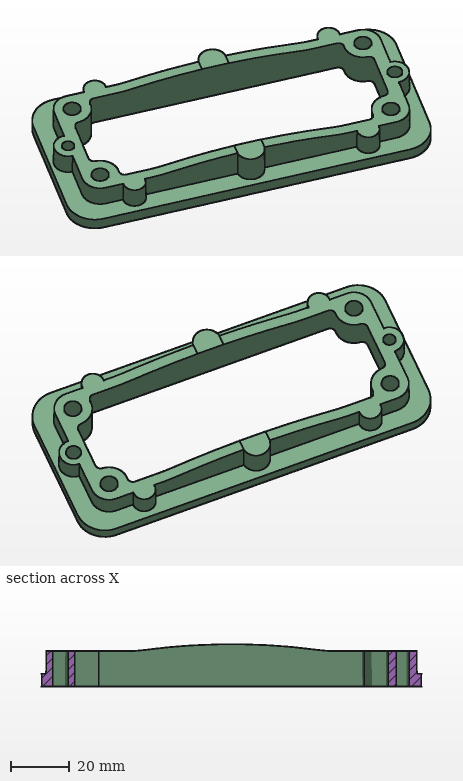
import cadquery as cq
import math

LENGTH = 129.0
WIDTH = 58.0
PLATE_HEIGHT = 4.4
PLATE_CORNER_RADIUS = 10.0

DECK_HEIGHT = 12.1
TOTAL_HEIGHT = 14.5
FRAME_WIDTH = 45.0
FRAME_LENGTH = 116.2
FRAME_CORNER_RADIUS = 6.5
DRAFT_ANGLE = 1.0

CROWN_HALF_LENGTH = 35.1
CROWN_ARC_HALF_LENGTH = 29.3

END_BOSS_RADIUS = 5.0
END_BOSS_Y = 58.0
SIDE_BOSS_RADIUS = 4.0
SIDE_BOSS_X = 22.7
SIDE_BOSS_Y = 41.5
PAD_REACH = 26.6
PAD_HALF_LENGTH = 4.8

OPENING_WIDTH = 37.2
OPENING_LENGTH = 106.3
LOBE_RADIUS = 6.6
LOBE_FILLET = 1.9
CORNER_HOLE_DIAMETER = 5.9
REAR_HOLE_DIAMETER = 5.2
FRONT_HOLE_DIAMETER = 4.3

CORNER_X = FRAME_WIDTH / 2 - FRAME_CORNER_RADIUS
CORNER_Y = FRAME_LENGTH / 2 - FRAME_CORNER_RADIUS
CORNER_POINTS = [(sx * CORNER_X, sy * CORNER_Y) for sx in (-1, 1) for sy in (-1, 1)]
SIDE_BOSS_POINTS = [(sx * SIDE_BOSS_X, sy * SIDE_BOSS_Y) for sx in (-1, 1) for sy in (-1, 1)]
END_BOSS_POINTS = [(0, -END_BOSS_Y), (0, END_BOSS_Y)]


def rounded_block(width, length, bottom, height, radius, draft=0.0):
    """Rounded rectangular block that narrows upwards by the draft angle."""
    outline = cq.Sketch().rect(width, length).vertices().fillet(radius)
    return cq.Workplane("XY").workplane(offset=bottom).placeSketch(outline).extrude(height, taper=draft)


def bosses(points, radius):
    """Tapered round bosses standing on the plate, up to the deck."""
    plane = cq.Workplane("XY").workplane(offset=PLATE_HEIGHT)
    return plane.pushPoints(points).circle(radius).extrude(DECK_HEIGHT - PLATE_HEIGHT, taper=DRAFT_ANGLE)


def crown_profile():
    """Side profile of the frame, with two tangent arcs on each half of the crown."""
    rise = TOTAL_HEIGHT - DECK_HEIGHT
    slope = 2 * math.atan(rise / CROWN_HALF_LENGTH)
    crown_radius = CROWN_ARC_HALF_LENGTH / math.sin(slope)
    ease_radius = (CROWN_HALF_LENGTH - CROWN_ARC_HALF_LENGTH) / math.sin(slope)
    join_z = TOTAL_HEIGHT - crown_radius * (1 - math.cos(slope))
    ease_mid_y = CROWN_HALF_LENGTH - ease_radius * math.sin(slope / 2)
    ease_mid_z = DECK_HEIGHT + ease_radius * (1 - math.cos(slope / 2))
    return (
        cq.Workplane("YZ")
        .moveTo(-LENGTH / 2, PLATE_HEIGHT)
        .lineTo(LENGTH / 2, PLATE_HEIGHT)
        .lineTo(LENGTH / 2, DECK_HEIGHT)
        .lineTo(CROWN_HALF_LENGTH, DECK_HEIGHT)
        .threePointArc((ease_mid_y, ease_mid_z), (CROWN_ARC_HALF_LENGTH, join_z))
        .threePointArc((0, TOTAL_HEIGHT), (-CROWN_ARC_HALF_LENGTH, join_z))
        .threePointArc((-ease_mid_y, ease_mid_z), (-CROWN_HALF_LENGTH, DECK_HEIGHT))
        .lineTo(-LENGTH / 2, DECK_HEIGHT)
        .close()
    )


def frame():
    """Drafted frame trimmed to the crown profile."""
    height = TOTAL_HEIGHT - PLATE_HEIGHT
    block = rounded_block(FRAME_WIDTH, FRAME_LENGTH, PLATE_HEIGHT, height, FRAME_CORNER_RADIUS, DRAFT_ANGLE)
    return block.intersect(crown_profile().extrude(WIDTH / 2, both=True))


def middle_pad(side):
    """Full-height pad at mid-length, rounded outside and flush with the opening inside."""
    inner_x = side * OPENING_WIDTH / 2
    wall_x = side * FRAME_WIDTH / 2
    return (
        cq.Workplane("XY")
        .moveTo(inner_x, -PAD_HALF_LENGTH)
        .lineTo(wall_x, -PAD_HALF_LENGTH)
        .threePointArc((side * PAD_REACH, 0), (wall_x, PAD_HALF_LENGTH))
        .lineTo(inner_x, PAD_HALF_LENGTH)
        .close()
        .extrude(TOTAL_HEIGHT)
    )


def opening():
    """Through opening, notched around the four corner screw lobes."""
    block = cq.Workplane("XY").box(OPENING_WIDTH, OPENING_LENGTH, TOTAL_HEIGHT, centered=(True, True, False))
    lobes = cq.Workplane("XY").pushPoints(CORNER_POINTS).circle(LOBE_RADIUS).extrude(TOTAL_HEIGHT)
    return block.cut(lobes).edges("|Z").fillet(LOBE_FILLET)


def holes(points, diameter):
    """Round through holes."""
    return cq.Workplane("XY").pushPoints(points).circle(diameter / 2).extrude(TOTAL_HEIGHT)


result = rounded_block(WIDTH, LENGTH, 0, PLATE_HEIGHT, PLATE_CORNER_RADIUS)
result = result.union(frame())
result = result.union(bosses(SIDE_BOSS_POINTS, SIDE_BOSS_RADIUS))
result = result.union(bosses(END_BOSS_POINTS, END_BOSS_RADIUS))
for side in (-1, 1):
    result = result.union(middle_pad(side))

result = result.cut(opening())
result = result.cut(holes(CORNER_POINTS, CORNER_HOLE_DIAMETER))
result = result.cut(holes([(0, END_BOSS_Y)], REAR_HOLE_DIAMETER))
result = result.cut(holes([(0, -END_BOSS_Y)], FRONT_HOLE_DIAMETER))